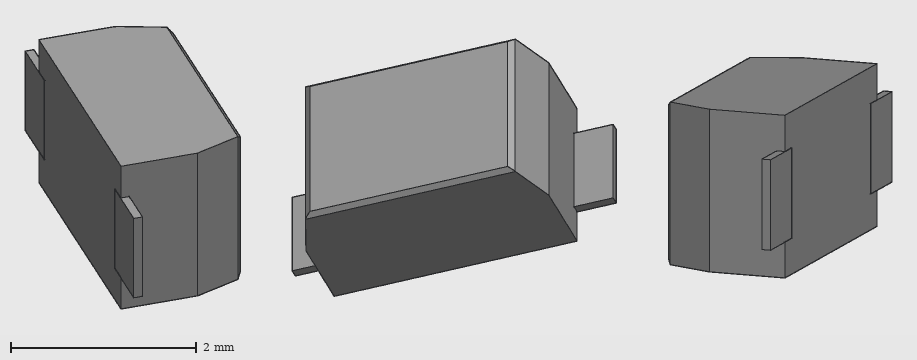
import cadquery as cq
import math

OVERALL_LENGTH = 3.7
LEAD_LENGTH = 0.65
LEAD_HEIGHT = 1.0
LEAD_THICKNESS = 0.1

OVERALL_DEPTH = 1.45
HOUSING_LENGTH = 2.8
HOUSING_HEIGHT = 1.8
LEAD_STANDOFF = 0.005
DRAFT_DEPTH = 0.575
DRAFT_ANGLE = 20.0
BACK_CHAMFER = 0.05


def make_lead(side):
    """Lead at the -X end (side = -1) or the +X end (side = 1)."""
    center_x = side * (OVERALL_LENGTH - LEAD_LENGTH) / 2
    return (
        cq.Workplane("XY")
        .box(LEAD_LENGTH, LEAD_THICKNESS, LEAD_HEIGHT)
        .translate((center_x, LEAD_THICKNESS / 2, 0))
    )


def make_housing():
    """Molded block with tapered ends and a chamfered back face."""
    half_length = HOUSING_LENGTH / 2
    half_back = half_length - DRAFT_DEPTH * math.tan(math.radians(DRAFT_ANGLE))
    shoulder_y = OVERALL_DEPTH - DRAFT_DEPTH
    return (
        cq.Workplane("XY")
        .moveTo(-half_length, LEAD_STANDOFF)
        .lineTo(half_length, LEAD_STANDOFF)
        .lineTo(half_length, shoulder_y)
        .lineTo(half_back, OVERALL_DEPTH)
        .lineTo(-half_back, OVERALL_DEPTH)
        .lineTo(-half_length, shoulder_y)
        .close()
        .extrude(HOUSING_HEIGHT / 2, both=True)
        .faces(">Y")
        .chamfer(BACK_CHAMFER)
    )


leads = [make_lead(side) for side in (-1, 1)]

housing = make_housing()
for lead in leads:
    housing = housing.cut(lead)

result = cq.Compound.makeCompound([housing.solids().val(), *[lead.val() for lead in leads]])